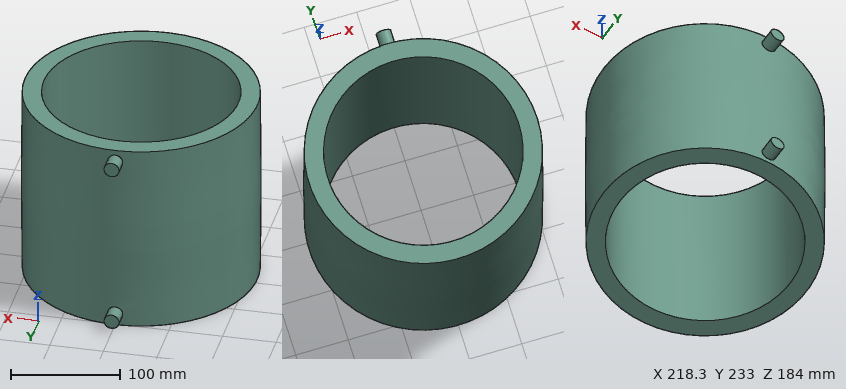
import cadquery as cq

height = 184.0
outer_diameter = 218.3
end_diameter = 217.2
bore_diameter = 181.7
band_height = 25.6
total_depth = 233.0
pin_diameter = 14.0
pin_end_offset = 11.9

outer_radius = outer_diameter / 2
end_radius = end_diameter / 2
bore_radius = bore_diameter / 2
half_height = height / 2
half_band = band_height / 2
pin_tip_y = total_depth - outer_radius
pin_root_y = (bore_radius + end_radius) / 2


def sleeve():
    """Ring with a straight middle band, tapering slightly to both ends."""
    profile = [
        (bore_radius, -half_height),
        (end_radius, -half_height),
        (outer_radius, -half_band),
        (outer_radius, half_band),
        (end_radius, half_height),
        (bore_radius, half_height),
    ]
    return (
        cq.Workplane("XZ")
        .polyline(profile)
        .close()
        .revolve(360, (0, 0, 0), (0, 1, 0))
    )


def pin(axis_z):
    """Radial pin that stands out of the wall along +Y."""
    return (
        cq.Workplane("XZ", origin=(0, pin_root_y, axis_z))
        .circle(pin_diameter / 2)
        .extrude(pin_root_y - pin_tip_y)
    )


result = sleeve()
pin_height = half_height - pin_end_offset
for axis_z in (-pin_height, pin_height):
    result = result.union(pin(axis_z))